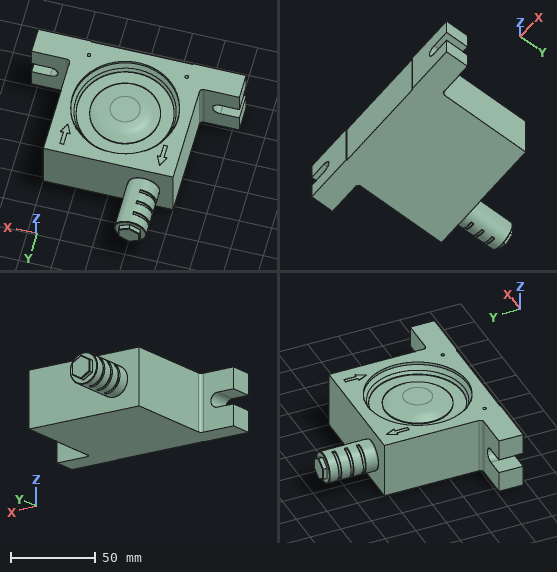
import cadquery as cq
import math


foot_span = 128.0
height = 37.0
body_width = 80.0
body_top_y = 80.0
foot_thickness = 16.0
corner_radius = 2.2
relief_width = 62.3
relief_depth = 0.5
slot_width = 9.3
slot_depth = 16.4

top_z = height / 2
recess_y = 40.0
recess_radius = 32.4
recess_wall = 1.8
plate_radius = 29.2
cone_end_depth = 6.5
cover_radius = 30.5
cone_slope = (cone_end_depth - recess_wall) / (recess_radius - plate_radius)
cover_rim_depth = recess_wall + cone_slope * (recess_radius - cover_radius)

plate_depth = 7.0
plate_thickness = 3.8
dome_radius = 21.1
dome_step = 0.6
dome_flat_radius = 9.0
dome_flat_depth = 1.8

dimple_x = 30.1
dimple_y = 10.0
dimple_radius = 1.0
arrow_x = 30.1
arrow_y = 67.0
arrow_length = 14.3
arrow_head_length = 6.3
arrow_head_width = 6.0
arrow_shaft_width = 2.3
arrow_depth = 0.1

silencer_x = -21.9
silencer_radius = 9.9
silencer_end_y = 112.0
silencer_chamfer = 0.4
silencer_foot_height = 0.5
silencer_foot_inset = 0.1
groove_count = 3
groove_pitch = 8.0
groove_width = 1.8
groove_depth = 0.96
first_groove_y = 89.1
hex_across_flats = 12.8
hex_end_y = 115.0
hex_chamfer = 0.4


def block_outline():
    """Body and feet as one block, with rounded inner corners and a relieved underside."""
    block = cq.Workplane("XY").box(foot_span, foot_thickness, height, centered=(True, False, True))
    body = cq.Workplane("XY").box(body_width, body_top_y, height, centered=(True, False, True))
    relief = cq.Workplane("XY").box(relief_width, relief_depth, height, centered=(True, False, True))
    inner_corners = cq.selectors.BoxSelector(
        (-body_width / 2 - corner_radius, foot_thickness - corner_radius, -height),
        (body_width / 2 + corner_radius, foot_thickness + corner_radius, height),
    )
    return block.union(body).edges("|Z").edges(inner_corners).fillet(corner_radius).cut(relief)


def foot_slot(side):
    """Open, round-ended slot through one foot along Y; side is -1 or 1."""
    return (
        cq.Workplane("XZ")
        .center(side * foot_span / 2, 0)
        .slot2D(2 * slot_depth, slot_width)
        .extrude(-foot_thickness)
    )


def recess():
    """Stepped round recess that also seats the cover."""
    floor_z = top_z - plate_depth - plate_thickness
    profile = (
        cq.Workplane("XZ")
        .moveTo(0, top_z)
        .lineTo(recess_radius, top_z)
        .lineTo(recess_radius, top_z - recess_wall)
        .lineTo(cover_radius, top_z - cover_rim_depth)
        .lineTo(cover_radius, floor_z)
        .lineTo(0, floor_z)
        .close()
    )
    return profile.revolve(360, (0, 0, 0), (0, 1, 0)).translate((0, recess_y, 0))


def dimple(side):
    """Conical 90 degree dimple in the top face."""
    cone = cq.Solid.makeCone(
        dimple_radius, 0, dimple_radius,
        pnt=cq.Vector(side * dimple_x, dimple_y, top_z), dir=cq.Vector(0, 0, -1),
    )
    return cq.Workplane(obj=cone)


def arrow(side):
    """Shallow flow arrow; the left one points to +Y, the right one to -Y."""
    tip = arrow_length / 2
    head_base = tip - arrow_head_length
    shaft = arrow_shaft_width / 2
    head = arrow_head_width / 2
    outline = [
        (0, tip), (head, head_base), (shaft, head_base), (shaft, -tip),
        (-shaft, -tip), (-shaft, head_base), (-head, head_base),
    ]
    turn = 90 * (1 + side)
    return (
        cq.Workplane("XY")
        .polyline(outline).close()
        .extrude(arrow_depth)
        .rotate((0, 0, 0), (0, 0, 1), turn)
        .translate((side * arrow_x, arrow_y, top_z - arrow_depth))
    )


def make_housing():
    housing = block_outline().cut(recess())
    for side in (-1, 1):
        housing = housing.cut(foot_slot(side)).cut(dimple(side)).cut(arrow(side))
    return housing


def make_cover():
    """Dished round plate with a low-stepped dome whose arc is tangent to its flat top."""
    floor_z = top_z - plate_depth - plate_thickness
    plate_z = top_z - plate_depth
    dome_base_z = plate_z + dome_step
    flat_z = top_z - dome_flat_depth
    run = dome_radius - dome_flat_radius
    drop = flat_z - dome_base_z
    arc_radius = (run ** 2 + drop ** 2) / (2 * drop)
    half_angle = math.asin(run / arc_radius) / 2
    arc_middle = (
        dome_flat_radius + arc_radius * math.sin(half_angle),
        flat_z - arc_radius * (1 - math.cos(half_angle)),
    )
    profile = (
        cq.Workplane("XZ")
        .moveTo(0, floor_z)
        .lineTo(cover_radius, floor_z)
        .lineTo(cover_radius, top_z - cover_rim_depth)
        .lineTo(plate_radius, top_z - cone_end_depth)
        .lineTo(plate_radius, plate_z)
        .lineTo(dome_radius, plate_z)
        .lineTo(dome_radius, dome_base_z)
        .threePointArc(arc_middle, (dome_flat_radius, flat_z))
        .lineTo(0, flat_z)
        .close()
    )
    return profile.revolve(360, (0, 0, 0), (0, 1, 0)).translate((0, recess_y, 0))


def half_groove(y):
    """Half-round groove on the -X side of the silencer, centred at the given Y."""
    ring = (
        cq.Workplane("XZ")
        .circle(silencer_radius)
        .circle(silencer_radius - groove_depth)
        .extrude(-groove_width)
    )
    left_half = cq.Workplane("XY").box(
        silencer_radius, groove_width, 2 * silencer_radius, centered=(False, False, True)
    ).translate((-silencer_radius, 0, 0))
    return ring.intersect(left_half).translate((silencer_x, y - groove_width / 2, 0))


def make_silencer():
    barrel = (
        cq.Workplane("XZ", origin=(silencer_x, body_top_y, 0))
        .circle(silencer_radius)
        .extrude(-(silencer_end_y - body_top_y))
        .faces(">Y")
        .chamfer(silencer_chamfer)
        .faces("<Y")
        .chamfer(silencer_foot_height, silencer_foot_inset)
    )
    for index in range(groove_count):
        barrel = barrel.cut(half_groove(first_groove_y + index * groove_pitch))
    hex_corner_diameter = hex_across_flats / math.cos(math.radians(30))
    hexagon = (
        cq.Workplane("XZ", origin=(silencer_x, silencer_end_y, 0))
        .transformed(rotate=(0, 0, 90))
        .polygon(6, hex_corner_diameter)
        .extrude(-(hex_end_y - silencer_end_y))
        .faces(">Y")
        .chamfer(hex_chamfer)
    )
    return barrel.union(hexagon)


housing = make_housing()
cover = make_cover()
silencer = make_silencer()

result = cq.Compound.makeCompound([housing.val(), cover.val(), silencer.val()])